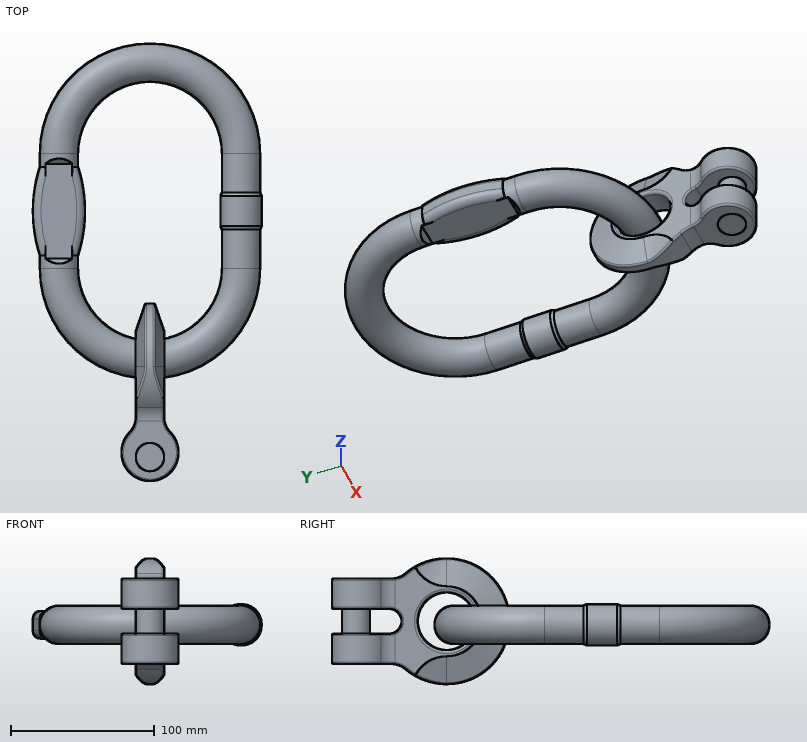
import cadquery as cq
import math

overall_length = 306

bar_radius = 27.0 / 2
bend_radius = 63.5
straight_length = 80.0

sleeve_radius = 29.0 / 2
sleeve_length = 26.0
sleeve_chamfer_length = 2.5

flat_height = 9.8
flat_half_length = 33.0
flat_run_out = 3.7
grip_half_width = 18.5
grip_half_length = 31.0
grip_edge_radius = 5.8

clevis_z = 2.5
eye_y = -108.5
eye_radius = 44.0
eye_hole_radius = 40.0 / 2
body_half_width = 10.0
rim_half_width = 3.5
taper_start_radius = 24.5
taper_fade_radius = 24.5
taper_slope = (body_half_width - rim_half_width) / (eye_radius - taper_start_radius)
cut_margin = 3.0
edge_fillet = 1.5
eye_hole_fillet = 2.5

ear_radius = 40.0 / 2
ear_end_y = straight_length / 2 + bend_radius + bar_radius - overall_length
ear_y = ear_end_y + ear_radius
ear_outer_height = 30.0
slot_half_height = 8.5
slot_end_y = -140.0
shoulder_radius = 14.7
neck_radius = 14.0

pin_radius = 20.0 / 2
pin_y = ear_end_y + 16.8


def make_ring():
    half = straight_length / 2
    path = (
        cq.Workplane("XY")
        .moveTo(bend_radius, -half)
        .lineTo(bend_radius, half)
        .threePointArc((0, half + bend_radius), (-bend_radius, half))
        .lineTo(-bend_radius, -half)
        .threePointArc((0, -half - bend_radius), (bend_radius, -half))
        .close()
    )
    return cq.Workplane("XZ", origin=(bend_radius, -half, 0)).circle(bar_radius).sweep(path)


def make_sleeve():
    half = sleeve_length / 2
    shoulder = half - sleeve_chamfer_length
    return (
        cq.Workplane("XY", origin=(bend_radius, 0, 0))
        .moveTo(0, -half)
        .lineTo(bar_radius, -half)
        .lineTo(sleeve_radius, -shoulder)
        .lineTo(sleeve_radius, shoulder)
        .lineTo(bar_radius, half)
        .lineTo(0, half)
        .close()
        .revolve(360, (0, 0, 0), (0, 1, 0))
    )


def make_flat_cut(side):
    """Material removed above (side = 1) or below (side = -1) the bar to leave one flat."""
    outer_half_length = flat_half_length + flat_run_out
    return (
        cq.Workplane("YZ", origin=(-bend_radius, 0, 0))
        .polyline([
            (-flat_half_length, side * flat_height),
            (flat_half_length, side * flat_height),
            (outer_half_length, side * bar_radius),
            (-outer_half_length, side * bar_radius),
        ])
        .close()
        .extrude(bar_radius, both=True)
    )


def make_grip():
    return (
        cq.Workplane("XY", origin=(-bend_radius, 0, -flat_height))
        .moveTo(-bar_radius, -grip_half_length)
        .lineTo(bar_radius, -grip_half_length)
        .threePointArc((grip_half_width, 0), (bar_radius, grip_half_length))
        .lineTo(-bar_radius, grip_half_length)
        .threePointArc((-grip_half_width, 0), (-bar_radius, -grip_half_length))
        .close()
        .extrude(2 * flat_height)
        .edges("not (|X or |Z)")
        .fillet(grip_edge_radius)
    )


def make_link():
    link = make_ring().union(make_sleeve())
    for side in (1, -1):
        link = link.cut(make_flat_cut(side))
    return link.union(make_grip())


def make_side_profile():
    """Eye disc flowing through concave shoulders into the ear block, full ear width."""
    shoulder_z = ear_outer_height + shoulder_radius
    blend_reach = eye_radius + shoulder_radius
    shoulder_dy = math.sqrt(blend_reach ** 2 - shoulder_z ** 2)
    tangent_ratio = eye_radius / blend_reach
    tangent_dy = shoulder_dy * tangent_ratio
    tangent_z = shoulder_z * tangent_ratio
    half_angle = math.atan2(shoulder_dy, shoulder_z) / 2
    middle_dy = shoulder_dy - shoulder_radius * math.sin(half_angle)
    middle_z = shoulder_z - shoulder_radius * math.cos(half_angle)
    end_dy = eye_y - ear_end_y
    return (
        cq.Workplane("YZ", origin=(0, eye_y, clevis_z))
        .moveTo(-end_dy, -ear_outer_height)
        .lineTo(-shoulder_dy, -ear_outer_height)
        .threePointArc((-middle_dy, -middle_z), (-tangent_dy, -tangent_z))
        .threePointArc((eye_radius, 0), (-tangent_dy, tangent_z))
        .threePointArc((-middle_dy, middle_z), (-shoulder_dy, ear_outer_height))
        .lineTo(-end_dy, ear_outer_height)
        .close()
        .extrude(ear_radius, both=True)
    )


def make_plan_profile():
    """Parallel-sided body flowing through concave necks into the round ears."""
    neck_x = body_half_width + neck_radius
    neck_dy = math.sqrt((ear_radius + neck_radius) ** 2 - neck_x ** 2)
    neck_y = ear_y + neck_dy
    tangent_ratio = ear_radius / (ear_radius + neck_radius)
    tangent_x = neck_x * tangent_ratio
    tangent_y = ear_y + neck_dy * tangent_ratio
    half_angle = math.atan2(neck_dy, neck_x) / 2
    middle_x = neck_x - neck_radius * math.cos(half_angle)
    middle_y = neck_y - neck_radius * math.sin(half_angle)
    top_y = eye_y + eye_radius
    return (
        cq.Workplane("XY", origin=(0, 0, clevis_z))
        .moveTo(-body_half_width, top_y)
        .lineTo(-body_half_width, neck_y)
        .threePointArc((-middle_x, middle_y), (-tangent_x, tangent_y))
        .threePointArc((0, ear_end_y), (tangent_x, tangent_y))
        .threePointArc((middle_x, middle_y), (body_half_width, neck_y))
        .lineTo(body_half_width, top_y)
        .close()
        .extrude(eye_radius, both=True)
    )


def make_slot():
    """Round-ended gap between the ears."""
    length = slot_end_y - ear_end_y
    centre_y = slot_end_y - slot_half_height
    block = (
        cq.Workplane("XY")
        .box(2 * ear_radius, length, 2 * slot_half_height)
        .translate((0, centre_y - length / 2, clevis_z))
    )
    end = (
        cq.Workplane("YZ", origin=(0, centre_y, clevis_z))
        .circle(slot_half_height)
        .extrude(ear_radius, both=True)
    )
    return block.union(end)


def half_space(direction):
    """Block holding everything on the +Y (1) or -Y (-1) side of the eye centre."""
    return (
        cq.Workplane("XY")
        .box(2 * ear_radius, 2 * eye_radius, 4 * eye_radius)
        .translate((0, eye_y + direction * eye_radius, clevis_z))
    )


def revolve_about_x(points, axis_z):
    return (
        cq.Workplane("XY", origin=(0, eye_y, axis_z))
        .polyline(points)
        .close()
        .revolve(360, (0, 0, 0), (1, 0, 0))
    )


def make_eye_taper(side):
    """Conical cut on the half of the eye away from the ears, for one side face."""
    reach = eye_radius + cut_margin
    reach_x = body_half_width - taper_slope * (reach - taper_start_radius)
    cone = revolve_about_x(
        [
            (side * body_half_width, taper_start_radius),
            (side * reach_x, reach),
            (side * ear_radius, reach),
            (side * ear_radius, taper_start_radius),
        ],
        clevis_z,
    )
    return cone.intersect(half_space(1))


def make_taper_fade(side, end):
    """Conical cut where the taper curves outward and runs off the rim toward the ears."""
    axis_x = body_half_width - taper_slope * taper_fade_radius
    cone = revolve_about_x(
        [
            (side * axis_x, 0),
            (side * body_half_width, taper_fade_radius),
            (side * ear_radius, taper_fade_radius),
            (side * ear_radius, 0),
        ],
        clevis_z + end * (taper_start_radius + taper_fade_radius),
    )
    return cone.intersect(half_space(-1))


def make_eye_hole():
    """Hole through the eye, flared with a convex radius at both faces."""
    flare_radius = eye_hole_radius + eye_hole_fillet
    flare_x = body_half_width - eye_hole_fillet
    arc_offset = eye_hole_fillet * (1 - math.sqrt(0.5))
    middle_radius = eye_hole_radius + arc_offset
    middle_x = body_half_width - arc_offset
    return (
        cq.Workplane("XY", origin=(0, eye_y, clevis_z))
        .moveTo(-body_half_width, 0)
        .lineTo(-body_half_width, flare_radius)
        .threePointArc((-middle_x, middle_radius), (-flare_x, eye_hole_radius))
        .lineTo(flare_x, eye_hole_radius)
        .threePointArc((middle_x, middle_radius), (body_half_width, flare_radius))
        .lineTo(body_half_width, 0)
        .close()
        .revolve(360, (0, 0, 0), (1, 0, 0))
    )


def is_taper_crease(edge):
    """True for the sharp crease where a flat side of the body meets the taper."""
    if edge.geomType() != "CIRCLE":
        return False
    crease_tolerance = 0.003
    crease_radii = (taper_start_radius, taper_fade_radius)
    return any(math.isclose(edge.radius(), radius, abs_tol=crease_tolerance) for radius in crease_radii)


def make_clevis():
    clevis = make_side_profile().intersect(make_plan_profile()).cut(make_slot())
    for side in (1, -1):
        clevis = clevis.cut(make_eye_taper(side))
        for end in (1, -1):
            clevis = clevis.cut(make_taper_fade(side, end))
    clevis = clevis.newObject([edge for edge in clevis.edges().vals() if not is_taper_crease(edge)])
    clevis = clevis.fillet(edge_fillet)
    return clevis.cut(make_eye_hole())


def make_pin():
    return (
        cq.Workplane("XY", origin=(0, pin_y, clevis_z - ear_outer_height))
        .circle(pin_radius)
        .extrude(2 * ear_outer_height)
    )


link = make_link()
pin = make_pin()
clevis = make_clevis().cut(pin)

result = cq.Compound.makeCompound([link.val(), clevis.val(), pin.val()])